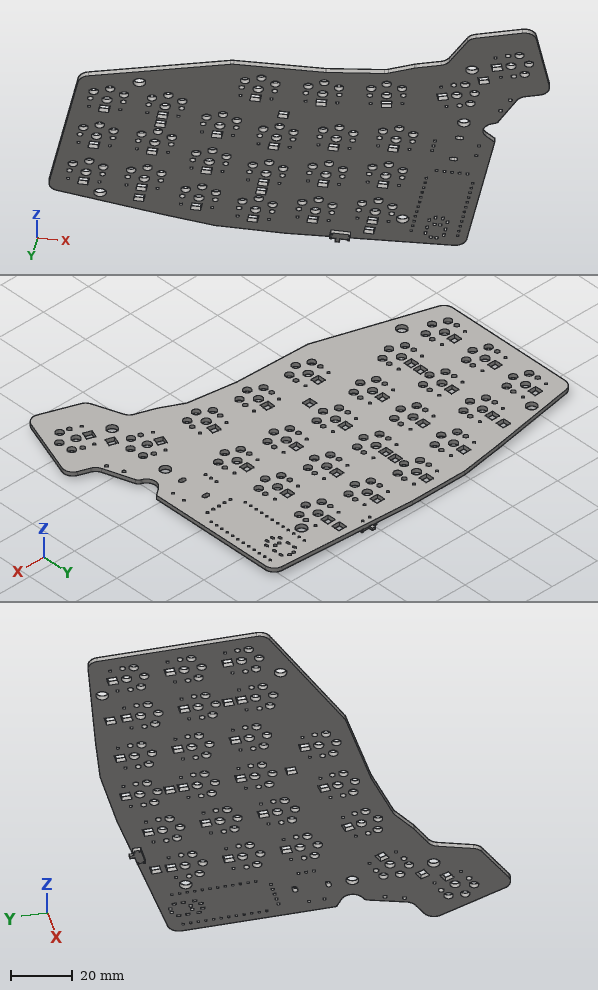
import cadquery as cq
import math


board_thickness = 1.7
corner_radius = 4.0
notch_mouth_radius = 2.0
thumb_tilt = 70.0

board_corners = [
    (-75.7, 48.9, corner_radius),
    (-36.3, 55.9, 0),
    (-18.8, 58.6, 0),
    (4.5, 58.6, 0),
    (63.1, 55.0, corner_radius),
    (63.1, -0.5, 0),
    (54.2, -7.4, corner_radius),
    (62.0, -10.3, notch_mouth_radius),
    (66.9, -25.0, corner_radius),
    (76.7, -28.6, corner_radius),
    (65.5, -59.6, corner_radius),
    (45.7, -52.4, corner_radius),
    (40.5, -37.7, corner_radius),
    (30.9, -34.2, corner_radius),
    (22.1, -29.7, corner_radius),
    (2.7, -26.8, corner_radius),
    (-28.0, -25.7, corner_radius),
    (-75.7, -10.6, corner_radius),
]

key_pitch = 19.2
first_column_x = -64.8
middle_row_y = [19.2, 19.2, 26.0, 28.9, 26.0, 23.2]
rows = [-1, 0, 1]

thumb_keys = [
    (-17.4, -14.2, 0),
    (3.6, -15.5, -5),
    (24.2, -18.3, -10),
    (46.6, -22.4, thumb_tilt),
    (61.3, -40.5, thumb_tilt),
]

stem_diameter = 3.3
guide_diameter = 1.8
guide_x = 5.5
socket_diameter = 3.0
socket_x = 5.0
socket_y = -3.6
lower_socket_y = -5.9
clip_diameter = 1.0
clip_x = 5.1
clip_y = 4.2
led_width = 3.3
led_height = 3.3
led_y = 4.7

light_windows = [
    (-45.4, 48.6, 0),
    (-45.4, 9.2, 0),
    (-7.0, 38.1, 0),
    (-7.0, -2.4, 0),
    (31.2, 52.2, 0),
    (53.9, -31.5, thumb_tilt),
]

screw_diameter = 4.1
screw_points = [(-58.5, 48.1), (40.7, 44.5), (-56.0, -10.9), (51.5, -8.6), (49.2, -36.3)]

controller_pin_diameter = 0.82
controller_pins_per_row = 12
controller_row_length = 28.0
controller_row_spacing = 15.3
controller_x = 52.2
controller_y = 36.0

display_pin_diameter = 1.0
display_pins = 5
display_row_length = 10.1
display_y = 17.5

encoder_x = 51.5
encoder_y = 5.0
encoder_pin_diameter = 1.0
encoder_left_pin_x = 7.5
encoder_right_pin_x = 7.0
encoder_pin_y = 2.5
encoder_slot_length = 2.7
encoder_slot_width = 1.7
encoder_slot_y = 5.6

jack_x = 52.4
jack_peg_diameter = 1.2
jack_peg_x = 0.9
jack_peg_ys = [52.2, 45.4]
jack_slot_length = 1.5
jack_slot_width = 0.8
jack_side_x = 3.0
jack_side_ys = [50.4, 47.4, 43.6]
jack_end_x = 1.2
jack_end_y = 42.0

reset_pin_diameter = 1.3
reset_pins = [(62.0, -17.0), (64.2, -23.0)]

switch_x = 22.1
switch_length = 6.5
switch_rear_y = 56.9
switch_depth = 2.7
switch_height = 1.2
switch_foot_height = 0.3
switch_foot_size = 0.6
knob_x = 21.6
knob_width = 1.4
knob_reach = 1.7
knob_height = 0.9
peg_hole_diameter = 0.9
peg_hole_spacing = 3.0
peg_hole_y = 55.4


def toward(start, end, distance):
    """Point at a distance from start on the way to end."""
    share = distance / math.dist(start, end)
    return (start[0] + share * (end[0] - start[0]), start[1] + share * (end[1] - start[1]))


def rounded_outline(corners):
    """Closed outline through the corners, with an arc at each corner that has a radius."""
    stretches = []
    for i, (x, y, radius) in enumerate(corners):
        corner = (x, y)
        before = corners[i - 1][:2]
        after = corners[(i + 1) % len(corners)][:2]
        if radius == 0:
            stretches.append([corner])
            continue
        angle_before = math.atan2(before[1] - y, before[0] - x)
        angle_after = math.atan2(after[1] - y, after[0] - x)
        half_angle = abs(math.remainder(angle_after - angle_before, 2 * math.pi)) / 2
        setback = radius / math.tan(half_angle)
        arc_start = toward(corner, before, setback)
        arc_end = toward(corner, after, setback)
        chord_middle = ((arc_start[0] + arc_end[0]) / 2, (arc_start[1] + arc_end[1]) / 2)
        arc_middle = toward(corner, chord_middle, radius / math.sin(half_angle) - radius)
        stretches.append([arc_start, arc_middle, arc_end])

    outline = cq.Workplane("XY").moveTo(*stretches[0][-1])
    for stretch in stretches[1:] + stretches[:1]:
        outline = outline.lineTo(*stretch[0])
        if len(stretch) > 1:
            outline = outline.threePointArc(*stretch[1:])
    return outline.close()


def turned(point, origin, rotation):
    """Point given from an origin that is rotated by some degrees, as board coordinates."""
    cosine = math.cos(math.radians(rotation))
    sine = math.sin(math.radians(rotation))
    return (
        origin[0] + point[0] * cosine - point[1] * sine,
        origin[1] + point[0] * sine + point[1] * cosine,
    )


def spaced(middle, length, count):
    """Evenly spaced values over a length about a middle value."""
    return [middle + length * (i / (count - 1) - 0.5) for i in range(count)]


def round_cutters(points, diameter):
    cutters = cq.Workplane("XY").pushPoints(points).circle(diameter / 2).extrude(board_thickness)
    return cutters.vals()


def slot_cutters(points, length, width, angle):
    cutters = cq.Workplane("XY").pushPoints(points).slot2D(length, width, angle).extrude(board_thickness)
    return cutters.vals()


def window_cutter(x, y, rotation):
    """Rectangular opening for a light."""
    window = cq.Workplane("XY").rect(led_width, led_height).extrude(board_thickness)
    return window.rotate((0, 0, 0), (0, 0, 1), rotation).translate((x, y, 0)).val()


def key_cutters(x, y, rotation):
    """All openings for one key switch, its socket and its light."""
    hole_groups = [
        (stem_diameter, [(0, 0)]),
        (guide_diameter, [(-guide_x, 0), (guide_x, 0)]),
        (socket_diameter, [(-socket_x, socket_y), (socket_x, socket_y), (0, lower_socket_y)]),
        (clip_diameter, [(-clip_x, clip_y), (clip_x, clip_y)]),
    ]
    cutters = [window_cutter(*turned((0, led_y), (x, y), rotation), rotation)]
    for diameter, points in hole_groups:
        cutters += round_cutters([turned(point, (x, y), rotation) for point in points], diameter)
    return cutters


def keyboard_cutters():
    cutters = []
    for column, column_y in enumerate(middle_row_y):
        for row in rows:
            cutters += key_cutters(first_column_x + column * key_pitch, column_y + row * key_pitch, 0)
    for key in thumb_keys:
        cutters += key_cutters(*key)
    for window in light_windows:
        cutters.append(window_cutter(*window))
    return cutters


def controller_cutters():
    """Two pin rows of the controller and the pin row of the display in front of it."""
    controller_points = [
        (x, y)
        for x in spaced(controller_x, controller_row_spacing, 2)
        for y in spaced(controller_y, controller_row_length, controller_pins_per_row)
    ]
    display_points = [(x, display_y) for x in spaced(controller_x, display_row_length, display_pins)]
    return round_cutters(controller_points, controller_pin_diameter) + round_cutters(
        display_points, display_pin_diameter
    )


def encoder_cutters():
    """Three pins on the left, two on the right and a mounting slot at each end."""
    pins = [(encoder_x - encoder_left_pin_x, encoder_y + side * encoder_pin_y) for side in (-1, 0, 1)]
    pins += [(encoder_x + encoder_right_pin_x, encoder_y + side * encoder_pin_y) for side in (-1, 1)]
    slots = [(encoder_x, encoder_y + side * encoder_slot_y) for side in (-1, 1)]
    return round_cutters(pins, encoder_pin_diameter) + slot_cutters(
        slots, encoder_slot_length, encoder_slot_width, 0
    )


def jack_cutters():
    """Mirrored pegs and contact slots of the audio jack."""
    pegs = [(jack_x + side * jack_peg_x, y) for side in (-1, 1) for y in jack_peg_ys]
    slots = [(jack_x + side * jack_side_x, y) for side in (-1, 1) for y in jack_side_ys]
    slots += [(jack_x + side * jack_end_x, jack_end_y) for side in (-1, 1)]
    return round_cutters(pegs, jack_peg_diameter) + slot_cutters(
        slots, jack_slot_length, jack_slot_width, 90
    )


def make_board():
    board = rounded_outline(board_corners).extrude(board_thickness)
    peg_holes = [(x, peg_hole_y) for x in spaced(switch_x, peg_hole_spacing, 2)]
    cutters = keyboard_cutters() + controller_cutters() + encoder_cutters() + jack_cutters()
    cutters += round_cutters(screw_points, screw_diameter)
    cutters += round_cutters(reset_pins, reset_pin_diameter)
    cutters += round_cutters(peg_holes, peg_hole_diameter)
    return cq.Workplane(board.val().cut(*cutters))


def make_slide_switch():
    """Case under the board, with four feet below it and a knob, level with its underside, past its rear."""
    case_y = switch_rear_y - switch_depth / 2
    case = cq.Workplane("XY").box(switch_length, switch_depth, switch_height)
    case = case.translate((switch_x, case_y, -switch_height / 2))
    feet = (
        cq.Workplane("XY", origin=(switch_x, case_y, -switch_height))
        .rect(switch_length - switch_foot_size, switch_depth - switch_foot_size, forConstruction=True)
        .vertices()
        .rect(switch_foot_size, switch_foot_size)
        .extrude(-switch_foot_height)
    )
    knob = cq.Workplane("XY").box(knob_width, knob_reach, knob_height)
    knob = knob.translate((knob_x, switch_rear_y + knob_reach / 2, knob_height / 2 - switch_height))
    return case.union(feet).union(knob)


board = make_board()
slide_switch = make_slide_switch()
result = cq.Compound.makeCompound([board.val(), slide_switch.val()])